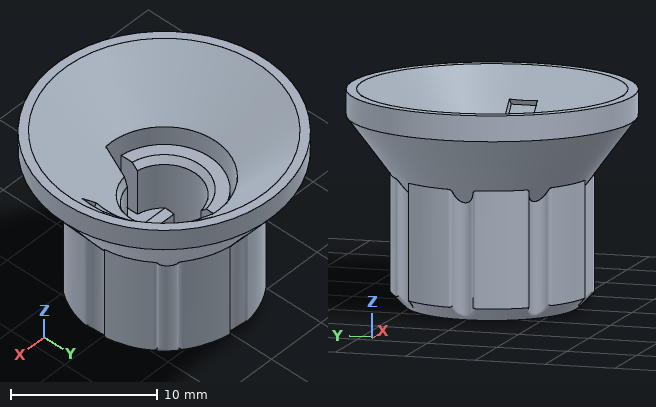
import cadquery as cq

height = 15.0
rim_radius = 10.0
rim_bottom_z = 13.2
grip_radius = 7.0
grip_top_z = 9.2
bottom_chamfer = 1.0

groove_count = 8
groove_radius = 0.75
groove_edge_fillet = 0.25

funnel_top_radius = 9.28
bore_radius = 3.0
bore_floor_z = 1.0
bore_taper_start_z = 8.25
bore_taper_top_z = 9.55
bore_taper_top_radius = 3.48

collar_radius = 4.5
collar_top_z = 9.55
collar_chamfer = 0.48
gap_radius = 5.0
slot_half_width = 0.5

key_flat_y = -1.5
key_top_z = 5.0
key_chamfer = 0.5

pocket_side = 2.0
pocket_depth = 0.55
pocket_center_radius = 6.48
pocket_cut_clearance = 0.2


def cylinder(radius, bottom_z, top_z):
    return cq.Workplane("XY").workplane(offset=bottom_z).circle(radius).extrude(top_z - bottom_z)


def make_grip():
    grip = cylinder(grip_radius, 0, grip_top_z).faces("<Z").chamfer(bottom_chamfer)
    grooves = (
        cq.Workplane("XY")
        .polarArray(grip_radius, 0, 360, groove_count)
        .circle(groove_radius)
        .extrude(grip_top_z)
    )
    grip = grip.cut(grooves)
    groove_end = cq.selectors.BoxSelector(
        (-rim_radius, -rim_radius, 0.02), (rim_radius, rim_radius, bottom_chamfer - 0.02)
    )
    groove_ends = grip.edges(groove_end)
    return grip.edges("|Z").add(groove_ends).fillet(groove_edge_fillet)


def make_bell():
    groove_bottom_radius = grip_radius - groove_radius
    cone_slope = (rim_radius - grip_radius) / (rim_bottom_z - grip_top_z)
    cone_bottom_z = grip_top_z - groove_radius / cone_slope
    return (
        cq.Workplane("XZ")
        .moveTo(0, cone_bottom_z)
        .lineTo(groove_bottom_radius, cone_bottom_z)
        .lineTo(rim_radius, rim_bottom_z)
        .lineTo(rim_radius, height)
        .lineTo(0, height)
        .close()
        .revolve(360, (0, 0, 0), (0, 1, 0))
    )


def make_funnel():
    return (
        cq.Workplane("XZ")
        .moveTo(0, height - funnel_top_radius)
        .lineTo(funnel_top_radius, height)
        .lineTo(0, height)
        .close()
        .revolve(360, (0, 0, 0), (0, 1, 0))
    )


def make_bore():
    return (
        cq.Workplane("XZ")
        .moveTo(0, bore_floor_z)
        .lineTo(bore_radius, bore_floor_z)
        .lineTo(bore_radius, bore_taper_start_z)
        .lineTo(bore_taper_top_radius, bore_taper_top_z)
        .lineTo(0, bore_taper_top_z)
        .close()
        .revolve(360, (0, 0, 0), (0, 1, 0))
    )


def left_half_disc(radius, right_x, bottom_z, top_z):
    keep = (
        cq.Workplane("XY")
        .workplane(offset=bottom_z)
        .center(right_x - radius, 0)
        .rect(2 * radius, 2 * radius)
        .extrude(top_z - bottom_z)
    )
    return cylinder(radius, bottom_z, top_z).intersect(keep)


def make_collar_clearance():
    return left_half_disc(gap_radius, slot_half_width, bore_floor_z, height)


def make_collar():
    collar = left_half_disc(collar_radius, -slot_half_width, bore_floor_z, collar_top_z)
    mouth = (
        cq.Workplane("XZ")
        .moveTo(0, bore_floor_z)
        .lineTo(bore_radius, bore_floor_z)
        .lineTo(bore_radius, collar_top_z - collar_chamfer)
        .lineTo(bore_radius + collar_chamfer, collar_top_z)
        .lineTo(0, collar_top_z)
        .close()
        .revolve(360, (0, 0, 0), (0, 1, 0))
    )
    return collar.cut(mouth)


def make_key():
    key = (
        cq.Workplane("XY")
        .workplane(offset=bore_floor_z)
        .center(0, (key_flat_y - collar_radius) / 2)
        .rect(2 * bore_radius, collar_radius + key_flat_y)
        .extrude(key_top_z - bore_floor_z)
        .faces(">Z")
        .edges("|X")
        .chamfer(key_chamfer)
    )
    slot = cq.Workplane("XY").rect(2 * slot_half_width, 2 * gap_radius).extrude(key_top_z)
    return key.intersect(cylinder(bore_radius, 0, key_top_z).union(slot))


def make_wall_pocket():
    center_z = height - funnel_top_radius + pocket_center_radius
    wall_plane = cq.Plane(
        origin=(pocket_center_radius, 0, center_z), xDir=(0, 1, 0), normal=(-1, 0, 1)
    )
    return (
        cq.Workplane(wall_plane)
        .workplane(offset=pocket_cut_clearance)
        .rect(pocket_side, pocket_side)
        .extrude(-(pocket_depth + pocket_cut_clearance))
    )


result = (
    make_grip()
    .union(make_bell())
    .cut(make_funnel())
    .cut(make_collar_clearance())
    .cut(make_bore())
    .union(make_collar())
    .union(make_key())
    .cut(make_wall_pocket())
)